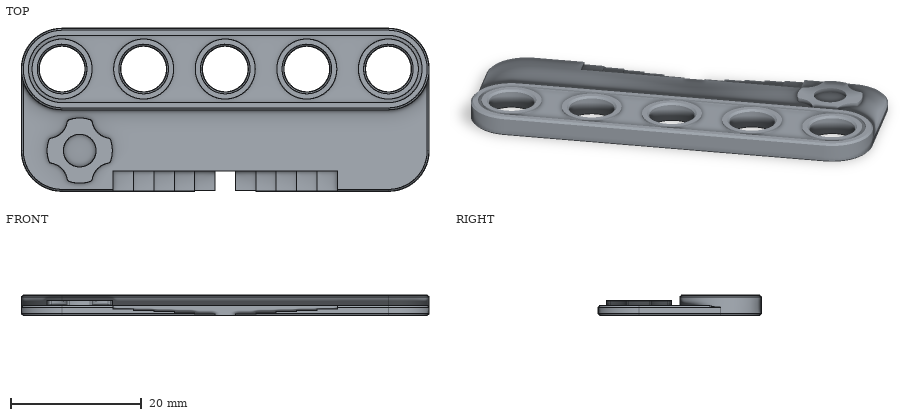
import cadquery as cq

GRID = 12.5
HOLE_COUNT = 5
LENGTH = HOLE_COUNT * GRID
THICKNESS = GRID / 4
PLATE_THICKNESS = THICKNESS / 2
PLATE_DEPTH = 2 * GRID
PLATE_FRONT_Y = GRID / 2 - PLATE_DEPTH
END_RADIUS = GRID / 2
CHAMFER = 0.3

HOLE_DIAMETER = 7.0
RING_DIAMETER = 9.2
LAND_WIDTH = (RING_DIAMETER - HOLE_DIAMETER) / 2 - CHAMFER
RECESS_DEPTH = 0.25

STEP_SIZE = GRID / 4
STEP_RISE = 0.2
STEPS_PER_SIDE = 5

KNOB_X = -22.3
KNOB_Y = -GRID
KNOB_HEIGHT = 0.7
KNOB_RADIUS = 5.0
KNOB_BORE_RADIUS = KNOB_RADIUS / 2
LOBE_COUNT = 4
SCALLOP_RADIUS = 3.0
SCALLOP_DISTANCE = 6.9
LOBE_FILLET = 0.5


def make_plate():
    """Rounded plate, two grid units deep, whose rear row lies under the beam."""
    return (
        cq.Workplane("XY")
        .center(0, PLATE_FRONT_Y + PLATE_DEPTH / 2)
        .rect(LENGTH, PLATE_DEPTH)
        .extrude(PLATE_THICKNESS)
        .edges("|Z")
        .fillet(END_RADIUS)
        .faces("<Z or >Z")
        .chamfer(CHAMFER)
    )


def make_beam():
    """Full-thickness beam with round ends, standing on the XY plane."""
    return (
        cq.Workplane("XY")
        .slot2D(LENGTH, GRID)
        .extrude(THICKNESS)
        .faces("<Z or >Z")
        .chamfer(CHAMFER)
    )


def hole_points():
    """Centres of the row of beam holes."""
    return [((i - (HOLE_COUNT - 1) / 2) * GRID, 0) for i in range(HOLE_COUNT)]


def make_recess():
    """Shallow pocket in the beam top, leaving an outer rim and a ring per hole."""
    margin = 2 * (CHAMFER + LAND_WIDTH)
    top = cq.Workplane("XY").workplane(offset=THICKNESS)
    pocket = top.slot2D(LENGTH - margin, GRID - margin).extrude(-RECESS_DEPTH)
    rings = top.pushPoints(hole_points()).circle(RING_DIAMETER / 2).extrude(-RECESS_DEPTH)
    return pocket.cut(rings)


def make_holes():
    """Through-hole cutters, flared by the chamfer at both ends."""
    radius = HOLE_DIAMETER / 2
    flare = radius + CHAMFER
    profile = (
        cq.Workplane("XZ")
        .polyline([
            (0, 0),
            (flare, 0),
            (radius, CHAMFER),
            (radius, THICKNESS - CHAMFER),
            (flare, THICKNESS),
            (0, THICKNESS),
        ])
        .close()
    )
    cutter = profile.revolve(360, (0, 0, 0), (0, 1, 0))
    holes = cq.Workplane("XY")
    for x, y in hole_points():
        holes = holes.add(cutter.translate((x, y, 0)))
    return holes.combine()


def make_steps():
    """Cutter that steps the plate edge down towards an open notch at mid-length."""
    cutter = cq.Workplane("XY")
    for i in range(-STEPS_PER_SIDE, STEPS_PER_SIDE + 1):
        floor = abs(i) * STEP_RISE
        step = (
            cq.Workplane("XY")
            .workplane(offset=floor)
            .center(i * STEP_SIZE, PLATE_FRONT_Y + STEP_SIZE / 2)
            .rect(STEP_SIZE, STEP_SIZE)
            .extrude(PLATE_THICKNESS - floor)
        )
        cutter = cutter.union(step)
    return cutter


def make_knob():
    """Four-lobed knob boss with a central recess down to the plate."""
    base = cq.Workplane("XY").workplane(offset=PLATE_THICKNESS)
    scallops = (
        base.polarArray(SCALLOP_DISTANCE, 180 / LOBE_COUNT, 360, LOBE_COUNT)
        .circle(SCALLOP_RADIUS)
        .extrude(KNOB_HEIGHT)
    )
    knob = base.circle(KNOB_RADIUS).extrude(KNOB_HEIGHT).cut(scallops)
    knob = knob.edges("|Z").fillet(LOBE_FILLET)
    bore = base.circle(KNOB_BORE_RADIUS).extrude(KNOB_HEIGHT)
    return knob.cut(bore).translate((KNOB_X, KNOB_Y, 0))


body = make_plate().union(make_beam())
body = body.cut(make_recess()).cut(make_holes()).cut(make_steps())
result = body.union(make_knob())